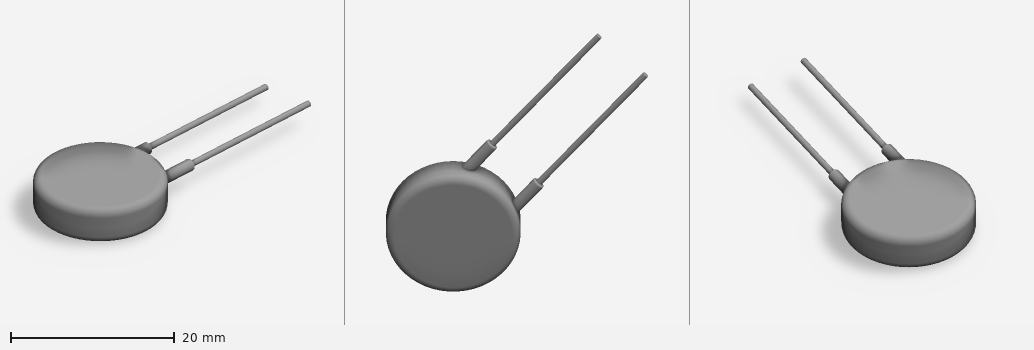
import cadquery as cq

overall_length = 40.0
disc_diameter = 16.5
disc_thickness = 4.8
disc_edge_radius = 1.0
disc_radius = disc_diameter / 2

lead_spacing = 7.5
lead_step_z = 1.0
wire_diameter = 0.8
wire_end_y = overall_length - disc_radius

sleeve_diameter = 1.55
sleeve_end_y = 11.75
sleeve_end_radius = 0.2
root_y = disc_radius / 2


def make_disc():
    base = cq.Workplane("XY", origin=(0, 0, -disc_thickness / 2))
    disc = base.circle(disc_radius).extrude(disc_thickness)
    return disc.edges("%CIRCLE").fillet(disc_edge_radius)


def rod_along_y(x, z, diameter, end_y):
    """Round rod from inside the disc out to end_y."""
    start = cq.Workplane("XZ", origin=(x, root_y, z))
    return start.circle(diameter / 2).extrude(root_y - end_y)


def make_lead(side):
    """Sleeved wire on one side: -1 is left and low, +1 is right and high."""
    x = side * lead_spacing / 2
    z = side * lead_step_z / 2
    sleeve = rod_along_y(x, z, sleeve_diameter, sleeve_end_y)
    sleeve = sleeve.faces(">Y").edges().fillet(sleeve_end_radius)
    return sleeve.union(rod_along_y(x, z, wire_diameter, wire_end_y))


result = make_disc()
for side in (-1, 1):
    result = result.union(make_lead(side))